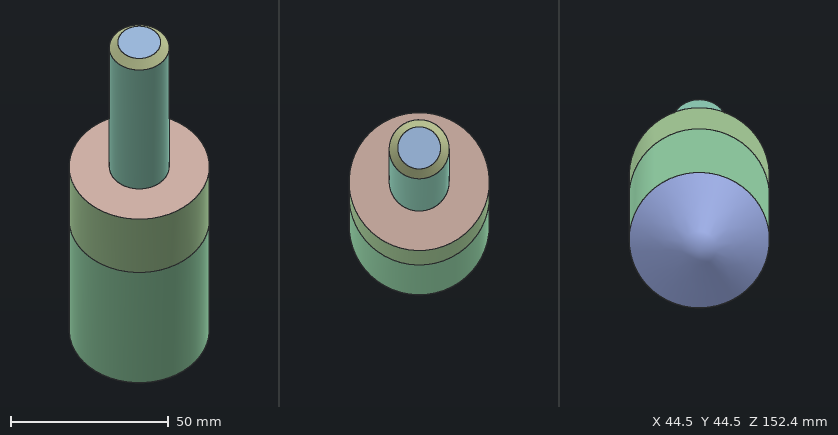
import cadquery as cq

total_length = 152.4
body_diameter = 44.5
shank_diameter = 19.0

cone_height = 13.4
joint_height = 66.8
shoulder_height = 92.5

shank_chamfer_length = 2.5
shank_chamfer_width = 2.7

body_radius = body_diameter / 2
shank_radius = shank_diameter / 2


def make_tip_body():
    """Cylinder with a conical point at the bottom, revolved about Z."""
    return (
        cq.Workplane("XZ")
        .moveTo(0, 0)
        .lineTo(body_radius, cone_height)
        .lineTo(body_radius, joint_height)
        .lineTo(0, joint_height)
        .close()
        .revolve(360, (0, 0), (0, 1))
    )


def make_shank():
    """Collar with a narrower shank, chamfered at its free end."""
    return (
        cq.Workplane("XZ")
        .moveTo(0, joint_height)
        .lineTo(body_radius, joint_height)
        .lineTo(body_radius, shoulder_height)
        .lineTo(shank_radius, shoulder_height)
        .lineTo(shank_radius, total_length - shank_chamfer_length)
        .lineTo(shank_radius - shank_chamfer_width, total_length)
        .lineTo(0, total_length)
        .close()
        .revolve(360, (0, 0), (0, 1))
    )


tip_body = make_tip_body()
shank = make_shank()

result = cq.Compound.makeCompound([tip_body.val(), shank.val()])